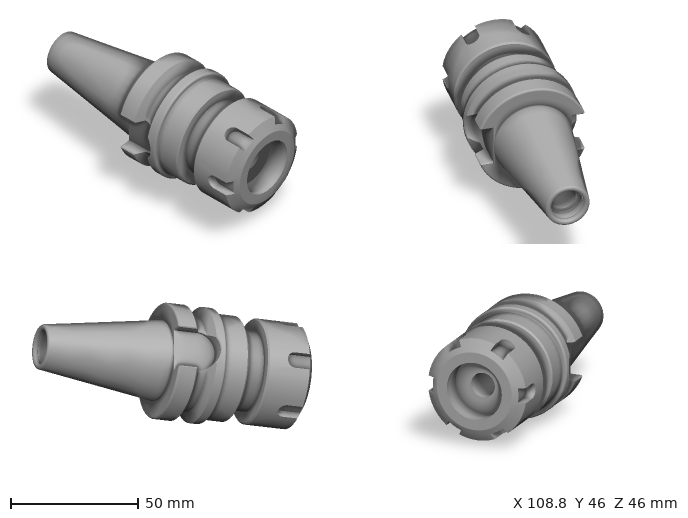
import cadquery as cq
import math

total_length = 108.8

taper_ratio = 7 / 24
taper_large_diameter = 32.0
taper_end_x = 49.0
tip_round = 1.1
relief_start_x = 49.6
relief_diameter = 31.4
tip_radius = (taper_large_diameter - taper_ratio * taper_end_x) / 2

flange_diameter = 46.0
flange_start_x = 50.3
flange_end_x = 70.1
flange_round = 0.9
grip_groove_diameter = 37.9
grip_groove_middle_x = 61.9
grip_groove_mouth = 8.0
grip_flank_angle = 60.0

collar_diameter = 42.0
collar_end_x = 80.3
collar_chamfer = 0.7
collar_corner_round = 0.7
neck_diameter = 32.0
nose_end_x = 100.1

drive_slot_floor = 16.1
drive_slot_width = 15.8
drive_slot_end_x = 67.6
drive_slot_chamfer = 0.4

bore_diameter = 10.1
mouth_diameter = 13.6
mouth_round = 1.1
mouth_end_x = 1.8
pilot_diameter = 13.1
recess_diameter = 13.6
recess_start_x = 5.1
recess_end_x = 6.7
recess_floor_round = 0.5

nut_diameter = 42.0
nut_start_x = 88.5
nut_chamfer = 0.7
nut_cone_start_x = 106.0
nut_face_diameter = 32.0
nut_face_round = 0.4
nut_opening_diameter = 23.5

spanner_slot_count = 6
spanner_slot_width = 6.3
spanner_slot_start_x = 96.6
spanner_slot_end_x = 107.5
spanner_slot_floor = 17.3


def cylinder(start_x, end_x, diameter):
    """Solid cylinder along X."""
    return cq.Workplane("YZ", origin=(start_x, 0, 0)).circle(diameter / 2).extrude(end_x - start_x)


def revolve_about_x(profile):
    """Turn a closed profile, drawn as (X, radius), around the X axis."""
    return profile.close().revolve(360, (0, 0, 0), (1, 0, 0))


def make_taper():
    """Tapered shank with a rounded small end."""
    profile = (
        cq.Workplane("XY")
        .lineTo(0, tip_radius)
        .lineTo(taper_end_x, taper_large_diameter / 2)
        .lineTo(taper_end_x, 0)
    )
    return revolve_about_x(profile).faces("<X").edges().fillet(tip_round)


def make_grip_groove():
    """Ring that cuts the V-shaped gripper groove, flat at its bottom."""
    outer_radius = flange_diameter / 2
    floor_radius = grip_groove_diameter / 2
    half_mouth = grip_groove_mouth / 2
    half_floor = half_mouth - (outer_radius - floor_radius) / math.tan(math.radians(grip_flank_angle))
    profile = (
        cq.Workplane("XY")
        .moveTo(grip_groove_middle_x - half_mouth, outer_radius)
        .lineTo(grip_groove_middle_x - half_floor, floor_radius)
        .lineTo(grip_groove_middle_x + half_floor, floor_radius)
        .lineTo(grip_groove_middle_x + half_mouth, outer_radius)
    )
    return revolve_about_x(profile)


def make_drive_slot():
    """Cutter for the -Y drive slot: open at the taper side, round at the other end."""
    half_width = drive_slot_width / 2
    return (
        cq.Workplane("XZ", origin=(0, -drive_slot_floor, 0))
        .moveTo(flange_start_x, -half_width)
        .lineTo(drive_slot_end_x - half_width, -half_width)
        .threePointArc((drive_slot_end_x, 0), (drive_slot_end_x - half_width, half_width))
        .lineTo(flange_start_x, half_width)
        .close()
        .extrude(flange_diameter / 2 - drive_slot_floor)
    )


def make_flange():
    """Flange with rounded rims, chamfered drive slots and the gripper groove."""
    flange = cylinder(flange_start_x, flange_end_x, flange_diameter)
    flange = flange.faces("<X or >X").edges().fillet(flange_round)
    drive_slot = make_drive_slot()
    for angle in (0, 180):
        flange = flange.cut(drive_slot.rotate((0, 0, 0), (1, 0, 0), angle))
    upper_wall_edges = flange.edges("|X").filter(
        lambda edge: edge.Center().z > drive_slot_width / 4
        and abs(edge.Center().y) > drive_slot_floor + drive_slot_chamfer
    )
    flange = upper_wall_edges.chamfer(drive_slot_chamfer)
    return flange.cut(make_grip_groove())


def make_collar():
    """Collar with a chamfered front rim and a small fillet against the flange face."""
    radius = collar_diameter / 2
    fillet_bulge = collar_corner_round * (1 - math.sqrt(0.5))
    profile = (
        cq.Workplane("XY")
        .moveTo(flange_end_x, 0)
        .lineTo(flange_end_x, radius + collar_corner_round)
        .threePointArc(
            (flange_end_x + fillet_bulge, radius + fillet_bulge),
            (flange_end_x + collar_corner_round, radius),
        )
        .lineTo(collar_end_x - collar_chamfer, radius)
        .lineTo(collar_end_x, radius - collar_chamfer)
        .lineTo(collar_end_x, 0)
    )
    return revolve_about_x(profile)


def make_holder_bore():
    """Cutter for the bore: rounded mouth, pilot, recess with a rounded floor, through hole."""
    mouth_radius = mouth_diameter / 2
    recess_radius = recess_diameter / 2
    mouth_arc_inset = mouth_round * (1 - math.sqrt(0.5))
    floor_arc_inset = recess_floor_round * (1 - math.sqrt(0.5))
    profile = (
        cq.Workplane("XY")
        .lineTo(0, mouth_radius + mouth_round)
        .threePointArc((mouth_arc_inset, mouth_radius + mouth_arc_inset), (mouth_round, mouth_radius))
        .lineTo(mouth_end_x, mouth_radius)
        .lineTo(mouth_end_x, pilot_diameter / 2)
        .lineTo(recess_start_x, pilot_diameter / 2)
        .lineTo(recess_start_x, recess_radius)
        .lineTo(recess_end_x - recess_floor_round, recess_radius)
        .threePointArc(
            (recess_end_x - floor_arc_inset, recess_radius - floor_arc_inset),
            (recess_end_x, recess_radius - recess_floor_round),
        )
        .lineTo(recess_end_x, bore_diameter / 2)
        .lineTo(nose_end_x, bore_diameter / 2)
        .lineTo(nose_end_x, 0)
    )
    return revolve_about_x(profile)


def make_holder():
    """Tool holder: taper, flange, collar and the nose that carries the nut."""
    return (
        make_taper()
        .union(cylinder(taper_end_x, relief_start_x, taper_large_diameter))
        .union(cylinder(relief_start_x, flange_start_x, relief_diameter))
        .union(make_flange())
        .union(make_collar())
        .union(cylinder(collar_end_x, nose_end_x, neck_diameter))
        .cut(make_holder_bore())
    )


def make_nut_blank():
    """Nut body with a chamfered rear rim and a conical front."""
    radius = nut_diameter / 2
    profile = (
        cq.Workplane("XY")
        .moveTo(nut_start_x, 0)
        .lineTo(nut_start_x, radius - nut_chamfer)
        .lineTo(nut_start_x + nut_chamfer, radius)
        .lineTo(nut_cone_start_x, radius)
        .lineTo(total_length, nut_face_diameter / 2)
        .lineTo(total_length, 0)
    )
    return revolve_about_x(profile).faces(">X").edges().fillet(nut_face_round)


def make_spanner_slot():
    """Cutter for the -Y spanner slot, rounded at its rear end and flat at its floor."""
    half_width = spanner_slot_width / 2
    return (
        cq.Workplane("XZ", origin=(0, -spanner_slot_floor, 0))
        .moveTo(spanner_slot_end_x, -half_width)
        .lineTo(spanner_slot_start_x + half_width, -half_width)
        .threePointArc((spanner_slot_start_x, 0), (spanner_slot_start_x + half_width, half_width))
        .lineTo(spanner_slot_end_x, half_width)
        .close()
        .extrude(nut_diameter / 2 - spanner_slot_floor)
    )


def make_nut():
    """Clamping nut: its bore takes the nose, and a lip closes over the nose end."""
    nut = (
        make_nut_blank()
        .cut(cylinder(nut_start_x, nose_end_x, neck_diameter))
        .cut(cylinder(nose_end_x, total_length, nut_opening_diameter))
    )
    spanner_slot = make_spanner_slot()
    for index in range(spanner_slot_count):
        angle = index * 360 / spanner_slot_count
        nut = nut.cut(spanner_slot.rotate((0, 0, 0), (1, 0, 0), angle))
    return nut


holder = make_holder()
nut = make_nut()

result = cq.Compound.makeCompound([holder.val(), nut.val()])